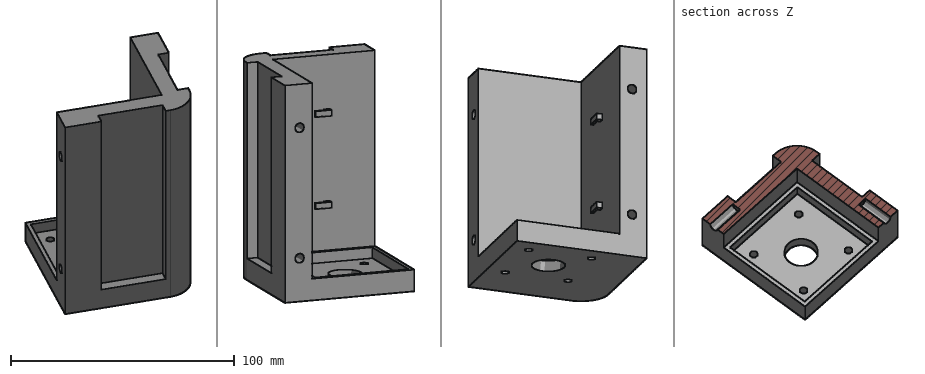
import cadquery as cq

side = 62.0
height = 100.0
base_height = 10.0
wall_thickness = 13.0
corner_radius = 13.0
inner_face = side - wall_thickness

rim_width = 2.0
recess_depth = 5.0
recess_size = inner_face - 2 * rim_width

base_center = 24.0
bore_diameter = 15.0
mount_hole_diameter = 3.5
mount_hole_spacing = 30.0

pocket_start = 17.0
pocket_width = 30.0
pocket_depth = 5.0

end_hole_diameter = 4.2
end_hole_depth = 15.0
end_hole_center = 55.0
end_hole_heights = (20.0, 80.0)

hook_reach = 2.7
hook_height = 2.7
hook_thickness = 1.2
hook_length = 7.7
hook_start = 21.8
hook_stem_width = 2.7
hook_bottoms = (30.0, 72.3)


def box(x_size, y_size, z_size, corner):
    """Box given by its sizes and its minimum corner."""
    return cq.Workplane("XY").box(x_size, y_size, z_size, centered=False).translate(corner)


def make_body():
    """Base and walls, with the outer corner between the walls rounded."""
    block = box(side, side, height, (0, 0, 0)).edges("|Z and >X and >Y").fillet(corner_radius)
    clearance = box(inner_face, inner_face, height - base_height, (0, 0, base_height))
    return block.cut(clearance)


def cut_base(body):
    """Recess, central bore and four mounting holes in the base."""
    recess_floor = base_height - recess_depth
    recess = box(recess_size, recess_size, recess_depth, (rim_width, rim_width, recess_floor))
    plan = cq.Workplane("XY").center(base_center, base_center)
    bore = plan.circle(bore_diameter / 2).extrude(base_height)
    mount_holes = (
        plan.rect(mount_hole_spacing, mount_hole_spacing, forConstruction=True)
        .vertices()
        .circle(mount_hole_diameter / 2)
        .extrude(base_height)
    )
    return body.cut(recess).cut(bore).cut(mount_holes)


def cut_wall_pockets(body):
    """Open-topped pockets in the two outer wall faces, ending at the base."""
    pocket_height = height - base_height
    outer_start = side - pocket_depth
    back = box(pocket_width, pocket_depth, pocket_height, (pocket_start, outer_start, base_height))
    flank = box(pocket_depth, pocket_width, pocket_height, (outer_start, pocket_start, base_height))
    return body.cut(back).cut(flank)


def cut_end_holes(body):
    """Blind holes along X in the +Y wall and along Y in the +X wall."""
    radius = end_hole_diameter / 2
    for z in end_hole_heights:
        along_x = cq.Solid.makeCylinder(
            radius, end_hole_depth, cq.Vector(0, end_hole_center, z), cq.Vector(1, 0, 0)
        )
        along_y = cq.Solid.makeCylinder(
            radius, end_hole_depth, cq.Vector(end_hole_center, 0, z), cq.Vector(0, 1, 0)
        )
        body = body.cut(cq.Workplane(along_x)).cut(cq.Workplane(along_y))
    return body


def add_hooks(body):
    """Hooks with a stem on the wall and a finger pointing along +Y."""
    hook_tip = inner_face - hook_reach
    for z in hook_bottoms:
        stem = box(hook_reach, hook_stem_width, hook_height, (hook_tip, hook_start, z))
        finger = box(hook_thickness, hook_length, hook_height, (hook_tip, hook_start, z))
        body = body.union(stem).union(finger)
    return body


result = add_hooks(cut_end_holes(cut_wall_pockets(cut_base(make_body()))))